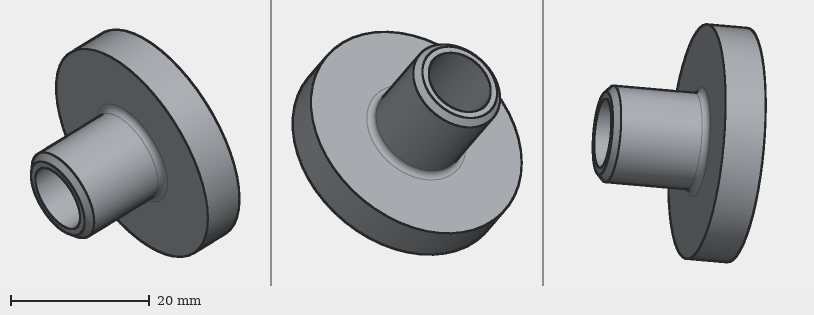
import cadquery as cq

flange_diameter = 34.0
flange_thickness = 6.0
total_length = 20.0
tube_diameter = 14.0
bore_diameter = 10.0
edge_size = 1.0

flange_radius = flange_diameter / 2
tube_radius = tube_diameter / 2
bore_radius = bore_diameter / 2
flange_front = -flange_thickness
tube_tip = -total_length

section = (
    cq.Workplane("XY")
    .moveTo(bore_radius, 0)
    .lineTo(flange_radius, 0)
    .lineTo(flange_radius, flange_front)
    .lineTo(tube_radius + edge_size, flange_front)
    .radiusArc((tube_radius, flange_front - edge_size), -edge_size)
    .lineTo(tube_radius, tube_tip + edge_size)
    .lineTo(tube_radius - edge_size, tube_tip)
    .lineTo(bore_radius, tube_tip)
    .close()
)

result = section.revolve(360, (0, 0, 0), (0, 1, 0))